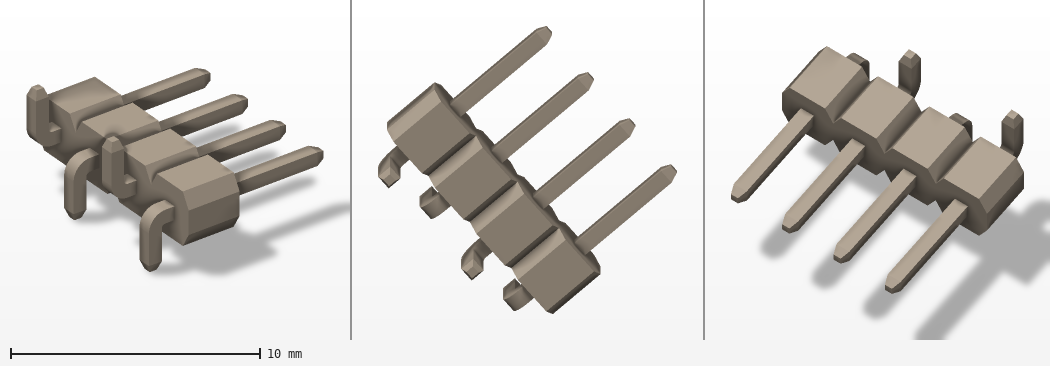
import cadquery as cq

position_count = 4
pitch = 2.54

housing_width = pitch
housing_height = 2.54
housing_depth = 2.54
corner_cut_x = 0.4
corner_cut_z = 0.7

pin_size = 0.64
half_pin = pin_size / 2
back_reach = 5.0
front_reach = 1.28
leg_reach = 4.85 / 2
bend_inner_radius = 0.18
bend_axis_radius = bend_inner_radius + half_pin
tip_length = 0.4
tip_size = 0.35

housing_back = housing_depth / 2
housing_front = -housing_depth / 2
back_tip_y = housing_back + back_reach
leg_y = housing_front - front_reach + half_pin
bend_start_y = leg_y + bend_axis_radius


def make_housing(x):
    """Eight-sided block with a square through hole that fits the pin."""
    half_width = housing_width / 2
    half_height = housing_height / 2
    flat_x = half_width - corner_cut_x
    flat_z = half_height - corner_cut_z
    outline = [
        (-flat_x, half_height),
        (flat_x, half_height),
        (half_width, flat_z),
        (half_width, -flat_z),
        (flat_x, -half_height),
        (-flat_x, -half_height),
        (-half_width, -flat_z),
        (-half_width, flat_z),
    ]
    return (
        cq.Workplane("XZ", origin=(x, housing_back, 0))
        .polyline(outline)
        .close()
        .rect(pin_size, pin_size)
        .extrude(housing_depth)
    )


def make_tip(plane):
    """Square tip that narrows along the normal of the given plane."""
    return (
        cq.Workplane(plane)
        .rect(pin_size, pin_size)
        .workplane(offset=tip_length)
        .rect(tip_size, tip_size)
        .loft(ruled=True)
    )


def make_pin(x, leg_direction):
    """Bent square pin; leg_direction is +1 for a leg going up and -1 for one going down."""
    shaft_end_y = back_tip_y - tip_length
    leg_end = leg_reach - tip_length

    shaft = (
        cq.Workplane("XZ", origin=(x, shaft_end_y, 0))
        .rect(pin_size, pin_size)
        .extrude(shaft_end_y - bend_start_y)
    )
    bend = (
        cq.Workplane("XZ", origin=(x, bend_start_y, 0))
        .rect(pin_size, pin_size)
        .revolve(90, (1, bend_axis_radius, 0), (-1, bend_axis_radius, 0))
    )
    leg = (
        cq.Workplane("XY", origin=(x, leg_y, bend_axis_radius))
        .rect(pin_size, pin_size)
        .extrude(leg_end - bend_axis_radius)
    )
    back_tip = make_tip(cq.Plane(origin=(x, shaft_end_y, 0), xDir=(1, 0, 0), normal=(0, 1, 0)))
    leg_tip = make_tip(cq.Plane(origin=(x, leg_y, leg_end), xDir=(1, 0, 0), normal=(0, 0, 1)))

    pin = shaft.union(bend).union(leg).union(back_tip).union(leg_tip)
    if leg_direction < 0:
        pin = pin.mirror("XY")
    return pin


bodies = []
for index in range(position_count):
    position_x = (index - (position_count - 1) / 2) * pitch
    leg_direction = 1 if index % 2 == 0 else -1
    bodies.append(make_housing(position_x).val())
    bodies.append(make_pin(position_x, leg_direction).val())

result = cq.Compound.makeCompound(bodies)